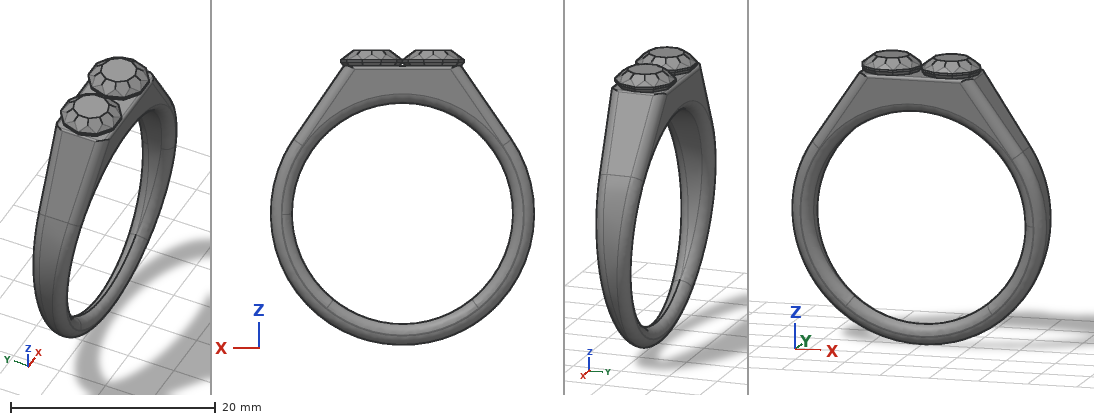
import cadquery as cq
import math


RING_RADIUS = 12.9
HOLE_RADIUS = 10.8
HEAD_TOP = 14.42
HEAD_HALF_LENGTH = 5.75
HEAD_HALF_WIDTH = 2.85
BASE_HALF_WIDTH = 0.72
SIDE_FILLET = 1.0
TOP_FILLET = 0.3
far_half_width = 2 * HEAD_HALF_WIDTH

STONE_SIDES = 10
STONE_ACROSS_FLATS = 5.75
TABLE_ACROSS_FLATS = 3.4
CROWN_JOINT_RADIUS = 2.37
PAVILION_HEIGHT = 0.38
PAVILION_INSET = 0.3
GIRDLE_HEIGHT = 0.2
OVERALL_HEIGHT = 28.85

HALF_SECTOR = math.pi / STONE_SIDES
girdle_apothem = STONE_ACROSS_FLATS / 2
girdle_radius = girdle_apothem / math.cos(HALF_SECTOR)
table_apothem = TABLE_ACROSS_FLATS / 2

side_slope = (HEAD_HALF_WIDTH - BASE_HALF_WIDTH) / (HEAD_TOP + RING_RADIUS)
half_width_at_arc_centre = BASE_HALF_WIDTH + side_slope * SIDE_FILLET
arc_centre_past_middle = SIDE_FILLET * math.hypot(1, side_slope) - half_width_at_arc_centre
ridge_depth = math.sqrt(SIDE_FILLET**2 - arc_centre_past_middle**2)
ring_bottom = -(RING_RADIUS - SIDE_FILLET + ridge_depth)
crown_height = OVERALL_HEIGHT + ring_bottom - HEAD_TOP - PAVILION_HEIGHT - GIRDLE_HEIGHT


def ring_outline():
    """Flat-topped outline whose shoulders run tangent into the round band."""
    corner_distance = math.hypot(HEAD_HALF_LENGTH, HEAD_TOP)
    corner_angle = math.atan2(HEAD_TOP, HEAD_HALF_LENGTH)
    tangent_angle = corner_angle - math.acos(RING_RADIUS / corner_distance)
    tangent_x = RING_RADIUS * math.cos(tangent_angle)
    tangent_z = RING_RADIUS * math.sin(tangent_angle)
    return (
        cq.Workplane("XZ")
        .moveTo(HEAD_HALF_LENGTH, HEAD_TOP)
        .lineTo(tangent_x, tangent_z)
        .threePointArc((0, -RING_RADIUS), (-tangent_x, tangent_z))
        .lineTo(-HEAD_HALF_LENGTH, HEAD_TOP)
        .close()
    )


def one_sided_blank():
    """Solid outline with a tapered +Y side; its -Y side lies well beyond the finished ring."""
    taper = (
        cq.Workplane("YZ")
        .polyline([
            (-far_half_width, -RING_RADIUS),
            (BASE_HALF_WIDTH, -RING_RADIUS),
            (HEAD_HALF_WIDTH, HEAD_TOP),
            (-far_half_width, HEAD_TOP),
        ])
        .close()
        .extrude(RING_RADIUS, both=True)
    )
    return ring_outline().extrude(far_half_width, both=True).intersect(taper)


def both_sides(one_sided):
    """What a one-sided body and its mirror image have in common."""
    return one_sided.intersect(one_sided.mirror("XZ"))


def make_ring():
    blank = one_sided_blank()
    hole = cq.Workplane("XZ").circle(HOLE_RADIUS).extrude(far_half_width, both=True)
    side_edges = blank.cut(hole).faces(">Y").edges("not(>Z)")
    round_sided_band = both_sides(side_edges.fillet(SIDE_FILLET))
    round_topped_blank = both_sides(blank).faces(">Z").edges().fillet(TOP_FILLET)
    return round_sided_band.intersect(round_topped_blank)


def frustum(bottom_apothem, top_apothem, height, turn):
    """Ten-sided frustum on Z = 0 with a corner at the angle `turn` from +X."""

    def corner_points(apothem):
        radius = apothem / math.cos(HALF_SECTOR)
        angles = [turn + 2 * HALF_SECTOR * i for i in range(STONE_SIDES)]
        return [(radius * math.cos(a), radius * math.sin(a)) for a in angles]

    return (
        cq.Workplane("XY")
        .polyline(corner_points(bottom_apothem)).close()
        .workplane(offset=height)
        .polyline(corner_points(top_apothem)).close()
        .loft(ruled=True)
    )


def make_crown():
    """Main facets run from the table edges to the girdle corners, with triangles between them."""
    main_facets = frustum(girdle_radius, table_apothem, crown_height, HALF_SECTOR)
    main_slope = crown_height / (girdle_radius - table_apothem)
    joint_height = main_slope * (girdle_radius - CROWN_JOINT_RADIUS * math.cos(HALF_SECTOR))
    triangle_lean = (girdle_apothem - CROWN_JOINT_RADIUS) / joint_height
    triangle_facets = frustum(
        girdle_apothem, girdle_apothem - triangle_lean * crown_height, crown_height, 0
    )
    return main_facets.intersect(triangle_facets)


def make_stone(x):
    pavilion = frustum(girdle_apothem - PAVILION_INSET, girdle_apothem, PAVILION_HEIGHT, 0)
    girdle = frustum(girdle_apothem, girdle_apothem, GIRDLE_HEIGHT, 0)
    girdle = girdle.translate((0, 0, PAVILION_HEIGHT))
    crown = make_crown().translate((0, 0, PAVILION_HEIGHT + GIRDLE_HEIGHT))
    return pavilion.union(girdle).union(crown).translate((x, 0, HEAD_TOP))


ring = make_ring()
stones = [make_stone(side * girdle_radius) for side in (-1, 1)]

result = cq.Compound.makeCompound([ring.val(), *[stone.val() for stone in stones]])